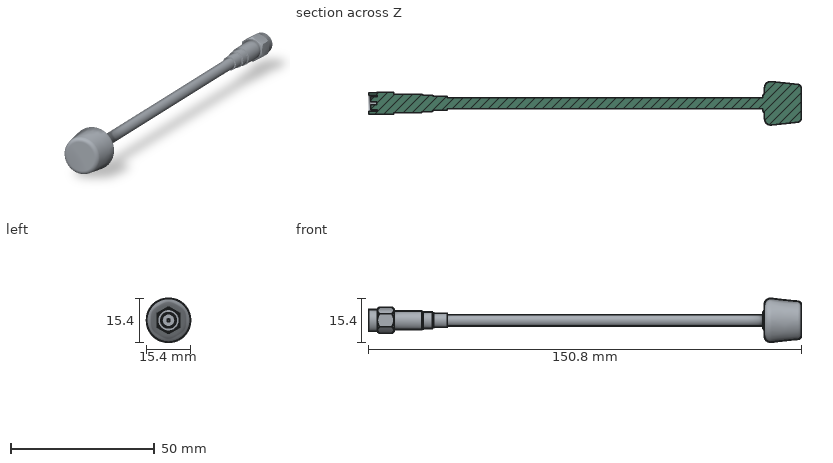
import cadquery as cq
import math

overall_length = 150.82
nut_start = 3.0
nut_end = 8.9
barrel_end = 18.6
crimp_end = 22.25
boot_end = 27.5
head_length = 12.95
head_start = overall_length - head_length

collar_diameter = 7.66
barrel_diameter = 6.6
barrel_shoulder_diameter = 6.11
crimp_diameter = 5.9
crimp_shoulder_diameter = 5.33
boot_diameter = 5.0
cable_diameter = 4.0
shoulder_length = 0.45

nut_across_flats = 7.94
nut_across_corners = nut_across_flats / math.cos(math.pi / 6)
nut_face_diameter = 7.8
nut_bevel_length = 0.8

socket_diameter = 5.33
insert_diameter = 4.59
insert_recess = 0.7
socket_depth = nut_start
pin_hole_diameter = 0.95
pin_hole_depth = 2.0

head_diameter = 15.36
head_taper = math.radians(6.2)
rear_rounding = 2.3
front_rounding = 1.4
rear_rim_excess = rear_rounding * (1 / math.cos(head_taper) - 1 + math.tan(head_taper))
rear_rim_radius = head_diameter / 2 + rear_rim_excess
front_rim_radius = rear_rim_radius - head_length * math.tan(head_taper)

hub_base_diameter = 7.0
hub_tip_diameter = 5.2
hub_length = 0.6


def rod(start, end, diameter):
    """Round bar along X between two stations."""
    return cq.Workplane("YZ", origin=(start, 0, 0)).circle(diameter / 2).extrude(end - start)


def turned(profile_points):
    """Solid of revolution about X from (station, radius) points, closed along the axis."""
    first_station = profile_points[0][0]
    last_station = profile_points[-1][0]
    outline = [(first_station, 0)] + profile_points + [(last_station, 0)]
    return cq.Workplane("XY").polyline(outline).close().revolve(360, (0, 0, 0), (1, 0, 0))


def round_sections():
    """Collar, barrel, crimp, boot and cable, each with its small shoulder where it has one."""
    sections = [
        (0, nut_start, collar_diameter),
        (nut_end, barrel_end, barrel_diameter),
        (barrel_end, barrel_end + shoulder_length, barrel_shoulder_diameter),
        (barrel_end, crimp_end, crimp_diameter),
        (crimp_end, crimp_end + shoulder_length, crimp_shoulder_diameter),
        (crimp_end, boot_end, boot_diameter),
        (boot_end, head_start, cable_diameter),
    ]
    return [rod(start, end, diameter) for start, end, diameter in sections]


def coupling_nut():
    """Hexagon with two corners on the Z axis, its corners bevelled at both ends."""
    hexagon = (
        cq.Workplane("YZ", origin=(nut_start, 0, 0))
        .transformed(rotate=(0, 0, 90))
        .polygon(6, nut_across_corners)
        .extrude(nut_end - nut_start)
    )
    bevel = turned([
        (nut_start, nut_face_diameter / 2),
        (nut_start + nut_bevel_length, nut_across_corners / 2),
        (nut_end - nut_bevel_length, nut_across_corners / 2),
        (nut_end, nut_face_diameter / 2),
    ])
    return hexagon.intersect(bevel)


def antenna_head():
    """Tapered head, rounded at both rims."""
    cone = turned([(head_start, rear_rim_radius), (overall_length, front_rim_radius)])
    rounded_rear = cone.faces("<X").edges().fillet(rear_rounding)
    return rounded_rear.faces(">X").edges().fillet(front_rounding)


def cable_hub():
    """Short cone widening from the cable to the rear face of the head."""
    return turned([
        (head_start - hub_length, hub_tip_diameter / 2),
        (head_start, hub_base_diameter / 2),
    ])


def cut_socket(body):
    """Open the connector mouth, leaving a recessed insert with a central pin hole."""
    socket = rod(0, socket_depth, socket_diameter)
    insert = rod(insert_recess, socket_depth, insert_diameter)
    pin_hole = rod(insert_recess, insert_recess + pin_hole_depth, pin_hole_diameter)
    return body.cut(socket).union(insert).cut(pin_hole)


antenna = coupling_nut()
for piece in round_sections() + [antenna_head(), cable_hub()]:
    antenna = antenna.union(piece)

result = cut_socket(antenna)